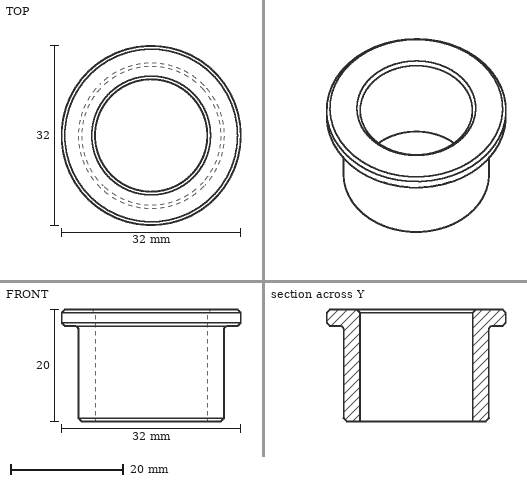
import cadquery as cq

flange_diameter = 32.0
sleeve_diameter = 26.0
bore_diameter = 20.0
total_height = 20.0
flange_thickness = 3.0
edge_chamfer = 0.6
neck_fillet = 0.6

flange_radius = flange_diameter / 2
sleeve_radius = sleeve_diameter / 2
bore_radius = bore_diameter / 2
flange_bottom = total_height - flange_thickness


def make_bushing():
    """Revolve the half section (radius, height) about the Z axis."""
    section = (
        cq.Workplane("XZ")
        .moveTo(bore_radius, 0)
        .lineTo(sleeve_radius - edge_chamfer, 0)
        .lineTo(sleeve_radius, edge_chamfer)
        .lineTo(sleeve_radius, flange_bottom - neck_fillet)
        .radiusArc((sleeve_radius + neck_fillet, flange_bottom), neck_fillet)
        .lineTo(flange_radius - edge_chamfer, flange_bottom)
        .lineTo(flange_radius, flange_bottom + edge_chamfer)
        .lineTo(flange_radius, total_height - edge_chamfer)
        .lineTo(flange_radius - edge_chamfer, total_height)
        .lineTo(bore_radius + edge_chamfer, total_height)
        .lineTo(bore_radius, total_height - edge_chamfer)
        .close()
    )
    return section.revolve(360, (0, 0), (0, 1))


result = make_bushing()